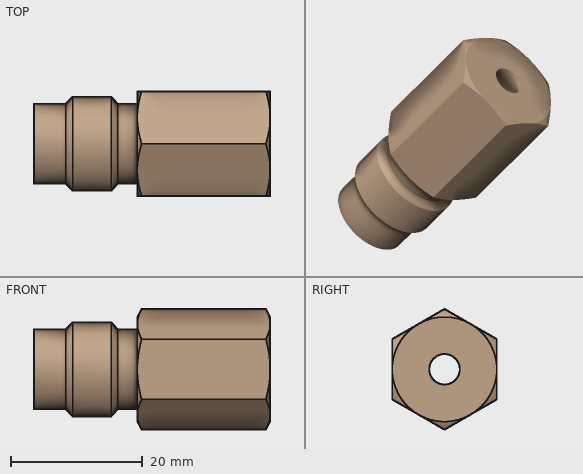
import cadquery as cq
import math

length = 35.8
collar_start = 4.85
collar_full_start = 5.9
collar_full_end = 11.7
collar_end = 12.68
hex_start = 15.7

spigot_radius = 6.1
collar_radius = 7.15
hex_across_flats = 15.85
bore_diameter = 4.6

chamfer_length = 0.65
hex_flat_radius = hex_across_flats / 2
hex_corner_radius = hex_flat_radius / math.cos(math.radians(30))


def revolve_about_x(outline):
    """Revolve a closed (x, radius) outline around the X axis."""
    return cq.Workplane("XY").polyline(outline).close().revolve(360, (0, 0, 0), (1, 0, 0))


def make_spigot():
    """Round spigot with a tapered collar, ending at the hexagon."""
    return revolve_about_x([
        (0, 0),
        (0, spigot_radius),
        (collar_start, spigot_radius),
        (collar_full_start, collar_radius),
        (collar_full_end, collar_radius),
        (collar_end, spigot_radius),
        (hex_start, spigot_radius),
        (hex_start, 0),
    ])


def make_hexagon():
    """Hexagon with corners on +Z and -Z, its ends turned to a cone."""
    prism = (
        cq.Workplane("YZ", origin=(hex_start, 0, 0))
        .transformed(rotate=(0, 0, 90))
        .polygon(6, 2 * hex_corner_radius)
        .extrude(length - hex_start)
    )
    turned_envelope = revolve_about_x([
        (hex_start, 0),
        (hex_start, hex_flat_radius),
        (hex_start + chamfer_length, hex_corner_radius),
        (length - chamfer_length, hex_corner_radius),
        (length, hex_flat_radius),
        (length, 0),
    ])
    return prism.intersect(turned_envelope)


bore = cq.Workplane("YZ").circle(bore_diameter / 2).extrude(length)

result = make_spigot().union(make_hexagon()).cut(bore)